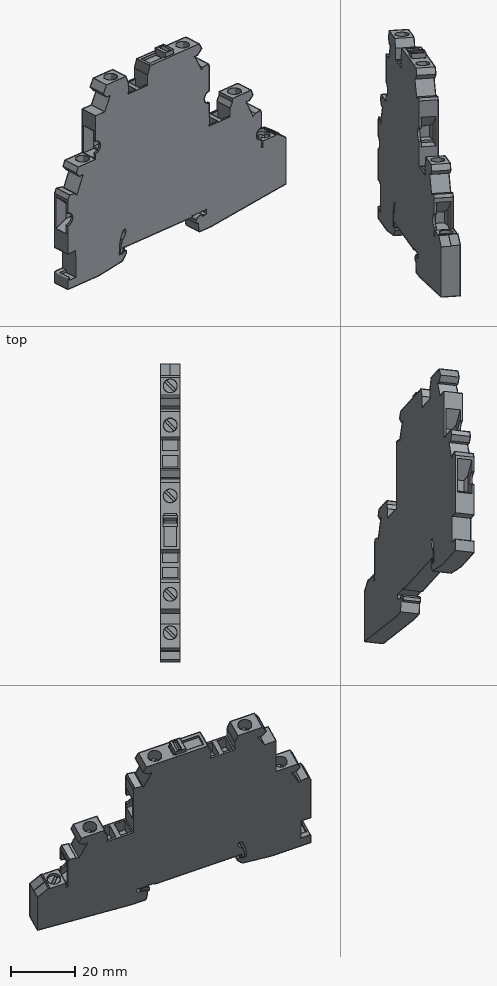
import cadquery as cq


WIDTH = 6.1
LENGTH = 92.7
SIDE_X = WIDTH / 2

TOP_Z = 66.55
VALLEY_Z = 60.0
STEP_Z = 42.0
REAR_VALLEY_Z = 35.9
LOWER_SHOULDER_Z = 33.5
BLOCK_Z = 22.15
BLOCK_CREST_Z = 22.4
BEVEL_FOOT_Z = 19.9
RAIL_Z = 6.3
FOOT_SLOT_Z = 4.3

UPPER_FRONT_Y = 11.8
UPPER_REAR_Y = 60.2
LOWER_REAR_Y = 82.3
BLOCK_FRONT_Y = 83.0
BEVEL_HEAD_Y = 89.0
VALLEY_Y = (25.8, 33.9)
REAR_VALLEY_REAR_Y = 69.0
FOOT_SLOT_Y = 3.4

SCREW_RADIUS = 2.1
SCREW_DEPTH = 4.2
BLOCK_SCREW_DEPTH = 1.1
DRIVE_WIDTH = 0.8
DRIVE_DEPTH = 0.4
DRIVE_ANGLE = -45
SCREWS = [
    (9.1, STEP_Z, SCREW_DEPTH),
    (21.0, TOP_Z, SCREW_DEPTH),
    (51.6, TOP_Z, SCREW_DEPTH),
    (73.6, STEP_Z, SCREW_DEPTH),
    (85.8, BLOCK_Z, BLOCK_SCREW_DEPTH),
]

ENTRY_HALF_WIDTH = 2.3
THROAT_HALF_WIDTH = 1.5
ENTRY_DEPTH = 5.6
MOUTH_SHARE = 0.75
MOUTH_DEPTH = ENTRY_DEPTH * MOUTH_SHARE
SCALLOP_RADIUS = 2.1
SCALLOP_RISE = 0.8


def blend(start, end):
    """Level reached at the end of the mouth on a straight slope through the entry."""
    return start + (end - start) * MOUTH_SHARE


LOWER_FACE = (19.7, 31.0)
LOWER_THROAT = (22.3, 25.95)
UPPER_FACE = (42.2, 51.8)
UPPER_THROAT = (43.5, 47.2)
UPPER_SILL_Z = 42.9

LOWER_MOUTH_END = tuple(blend(face, throat) for face, throat in zip(LOWER_FACE, LOWER_THROAT))
UPPER_CEILING_Z = blend(UPPER_FACE[1], UPPER_THROAT[1])
LOWER_ENTRY = (LOWER_FACE, LOWER_MOUTH_END, LOWER_MOUTH_END, LOWER_THROAT)
UPPER_ENTRY = (
    UPPER_FACE,
    (UPPER_FACE[0], UPPER_CEILING_Z),
    (UPPER_SILL_Z, UPPER_CEILING_Z),
    UPPER_THROAT,
)

POCKET_WIDTH = 4.8
POCKET_DEPTH = 4.6
POCKETS = [
    (26.3, 29.4, VALLEY_Z),
    (31.0, VALLEY_Y[1], VALLEY_Z),
    (60.6, 64.2, REAR_VALLEY_Z),
    (65.8, REAR_VALLEY_REAR_Y, REAR_VALLEY_Z),
]

RECESS_Y = (35.9, 46.2)
RECESS_WIDTH = 3.8
RECESS_DEPTH = 0.9
KNOB_Y = (42.1, 45.6)
KNOB_WIDTH = 4.6
KNOB_TOP_Z = 68.0
GROOVE_Y = (43.3, 43.8, 44.8)
GROOVE_DEPTH = 0.9

LIP_RADIUS = 0.65
TROUGH_X = -1.4
TROUGH_Y = 0.7
TROUGH_DEPTH = 0.9
BUMP_INSET = 0.5

SPLIT_X = -0.1
SPLIT_STEP = 0.2


def side_prism(outline, x_start, x_end):
    """Extrude a closed (Y, Z) outline between two X positions."""
    wire = cq.Workplane("YZ", origin=(x_start, 0, 0)).polyline(outline).close()
    return wire.extrude(x_end - x_start)


def box(x_range, y_range, z_range):
    sizes = [high - low for low, high in (x_range, y_range, z_range)]
    corner = (x_range[0], y_range[0], z_range[0])
    return cq.Workplane("XY").box(*sizes, centered=False).translate(corner)


def centred(width):
    return (-width / 2, width / 2)


def housing():
    front_foot = [
        (3.2, 12.8), (FOOT_SLOT_Y, 10.3), (FOOT_SLOT_Y, FOOT_SLOT_Z), (0, FOOT_SLOT_Z),
        (0, 0.3), (13.3, 0.3), (23.3, 1.8), (24.9, 4.0), (24.9, 4.8),
        (24.1, 4.8), (24.1, RAIL_Z),
    ]
    rear_foot = [
        (52.9, RAIL_Z), (52.9, 6.8), (58.95, 6.8), (58.95, 5.4), (55.4, 4.3),
        (55.4, 2.3), (55.9, 0), (60.7, 0), (LENGTH, 3.3),
    ]
    rear_block = [
        (LENGTH, BEVEL_FOOT_Z), (BEVEL_HEAD_Y, BLOCK_CREST_Z), (88.4, BLOCK_CREST_Z), (88.4, BLOCK_Z),
        (BLOCK_FRONT_Y, BLOCK_Z), (BLOCK_FRONT_Y, 20.0), (LOWER_REAR_Y, 20.0),
    ]
    lower_rear_terminal = [
        (LOWER_REAR_Y, 32.35), (81.8, LOWER_SHOULDER_Z), (79.6, 33.1),
        (78.6, 32.4), (75.8, 38.5), (77.2, 38.6), (78.7, 40.0), (77.9, STEP_Z),
        (69.9, STEP_Z), (69.9, 40.8), (REAR_VALLEY_REAR_Y, 38.9),
        (REAR_VALLEY_REAR_Y, REAR_VALLEY_Z), (UPPER_REAR_Y, REAR_VALLEY_Z),
    ]
    upper_level = [
        (UPPER_REAR_Y, 57.2), (59.7, 58.0), (57.3, 57.65), (56.8, 57.0),
        (53.9, 62.7), (55.15, 62.75), (56.9, 64.5), (55.8, TOP_Z),
        (34.9, TOP_Z), (VALLEY_Y[1], 63.7), (VALLEY_Y[1], VALLEY_Z),
        (VALLEY_Y[0], VALLEY_Z), (VALLEY_Y[0], 63.7), (24.75, TOP_Z),
        (16.5, TOP_Z), (15.1, 64.0), (16.5, 62.2), (18.0, 62.2), (15.7, 57.4),
        (UPPER_FRONT_Y, 57.4), (UPPER_FRONT_Y, STEP_Z),
    ]
    lower_front_terminal = [
        (4.45, STEP_Z), (3.6, 40.1), (4.9, 38.5), (6.5, 38.5), (3.9, 32.35),
        (3.3, 33.0), (0.8, LOWER_SHOULDER_Z), (0, 31.9), (0, 12.8),
    ]
    outline = (front_foot + rear_foot + rear_block + lower_rear_terminal
               + upper_level + lower_front_terminal)
    return side_prism(outline, -SIDE_X, SIDE_X)


def spring_slit():
    """Curved slit that frees the front foot, hooking under a tongue to the rail face."""
    profile = (
        cq.Workplane("YZ", origin=(-SIDE_X, 0, 0))
        .moveTo(23.6, RAIL_Z)
        .lineTo(23.6, 4.45)
        .lineTo(21.9, 4.45)
        .lineTo(21.9, 6.8)
        .threePointArc((22.3, 9.6), (23.45, 12.4))
        .threePointArc((24.2, 12.7), (24.7, 12.05))
        .threePointArc((24.4, 10.75), (23.3, 9.3))
        .threePointArc((22.7, 7.8), (22.4, 6.3))
        .lineTo(22.4, 4.7)
        .lineTo(23.4, 4.7)
        .lineTo(23.4, RAIL_Z)
        .close()
    )
    return profile.extrude(WIDTH)


def rear_foot_bump():
    """Rounded nose on the rear foot, set back from the -X side."""
    profile = (
        cq.Workplane("YZ", origin=(-SIDE_X + BUMP_INSET, 0, 0))
        .moveTo(57.8, 5.1)
        .threePointArc((56.3, 5.75), (54.5, 4.6))
        .lineTo(54.5, 3.5)
        .lineTo(55.5, 3.2)
        .lineTo(56.1, 4.2)
        .close()
    )
    return profile.extrude(WIDTH - BUMP_INSET)


def bevel_step():
    """Thin layer taken off the +X half of the rear bevel."""
    outline = [
        (LENGTH, BEVEL_FOOT_Z), (BEVEL_HEAD_Y, BLOCK_CREST_Z),
        (BEVEL_HEAD_Y, BLOCK_CREST_Z - SPLIT_STEP), (LENGTH, BEVEL_FOOT_Z - SPLIT_STEP),
    ]
    return side_prism(outline, SPLIT_X, SIDE_X)


def screw_hole(y, top_z, depth):
    hole = cq.Workplane("XY", origin=(0, y, top_z - depth)).circle(SCREW_RADIUS).extrude(depth)
    head = cq.Workplane("XY", origin=(0, y, top_z - depth - DRIVE_DEPTH))
    drive = head.rect(2 * SCREW_RADIUS, DRIVE_WIDTH).extrude(DRIVE_DEPTH)
    drive = drive.rotate((0, y, 0), (0, y, 1), DRIVE_ANGLE)
    drive_limit = head.circle(SCREW_RADIUS).extrude(DRIVE_DEPTH)
    return hole.union(drive.intersect(drive_limit))


def funnel(half_widths, z_ranges, depths, face_y, inward):
    """Loft between two upright rectangles at two depths behind a wire face."""
    wires = []
    for half_width, (low, high), depth in zip(half_widths, z_ranges, depths):
        y = face_y + inward * depth
        corners = [
            cq.Vector(-half_width, y, low),
            cq.Vector(half_width, y, low),
            cq.Vector(half_width, y, high),
            cq.Vector(-half_width, y, high),
        ]
        wires.append(cq.Wire.makePolygon(corners, close=True))
    return cq.Workplane(obj=cq.Solid.makeLoft(wires, True))


def wire_entry(face_y, inward, levels):
    """Funnel-shaped wire entry with a round scallop through its +X wall."""
    mouth = funnel((ENTRY_HALF_WIDTH, ENTRY_HALF_WIDTH), levels[:2],
                   (0, MOUTH_DEPTH), face_y, inward)
    throat = funnel((ENTRY_HALF_WIDTH, THROAT_HALF_WIDTH), levels[2:],
                    (MOUTH_DEPTH, ENTRY_DEPTH), face_y, inward)
    scallop_z = sum(levels[3]) / 2 + SCALLOP_RISE
    scallop = (
        cq.Workplane("YZ", origin=(0, face_y, scallop_z))
        .circle(SCALLOP_RADIUS)
        .extrude(SIDE_X)
    )
    return mouth.union(throat).union(scallop)


def knob():
    body = box(centred(KNOB_WIDTH), KNOB_Y, (TOP_Z - RECESS_DEPTH, KNOB_TOP_Z))
    front, slope_foot, slope_head = GROOVE_Y
    groove_z = KNOB_TOP_Z - GROOVE_DEPTH
    groove = side_prism(
        [(front, KNOB_TOP_Z), (front, groove_z), (slope_foot, groove_z), (slope_head, KNOB_TOP_Z)],
        *centred(RECESS_WIDTH),
    )
    return body.cut(groove)


result = housing()
lip_edge = cq.selectors.NearestToPointSelector((0, 0, FOOT_SLOT_Z))
result = result.edges(lip_edge).fillet(LIP_RADIUS)
result = result.cut(spring_slit()).cut(bevel_step()).union(rear_foot_bump())

for screw in SCREWS:
    result = result.cut(screw_hole(*screw))

for face_y, inward, levels in (
    (0, 1, LOWER_ENTRY),
    (UPPER_FRONT_Y, 1, UPPER_ENTRY),
    (UPPER_REAR_Y, -1, UPPER_ENTRY),
    (LOWER_REAR_Y, -1, LOWER_ENTRY),
):
    result = result.cut(wire_entry(face_y, inward, levels))

for front_y, rear_y, floor_z in POCKETS:
    pocket_levels = (floor_z - POCKET_DEPTH, floor_z)
    result = result.cut(box(centred(POCKET_WIDTH), (front_y, rear_y), pocket_levels))

recess = box(centred(RECESS_WIDTH), RECESS_Y, (TOP_Z - RECESS_DEPTH, TOP_Z))
result = result.cut(recess).union(knob())

trough = box((TROUGH_X, SIDE_X), (TROUGH_Y, FOOT_SLOT_Y), (FOOT_SLOT_Z - TROUGH_DEPTH, FOOT_SLOT_Z))
result = result.cut(trough)